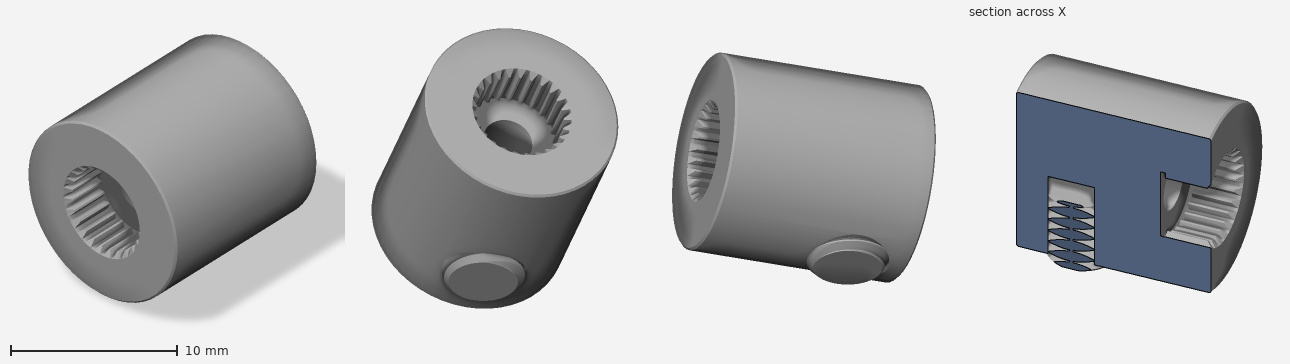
import cadquery as cq
import math

HOUSING_LENGTH = 12.7
HOUSING_RADIUS = 6.001
EDGE_CHAMFER = 0.13
BORE_RADIUS = 1.51

SOCKET_DEPTH = 3.3
TOOTH_LENGTH = 2.98
SPLINE_TEETH = 25
SPLINE_ROOT_RADIUS = 3.07
SPLINE_TIP_RADIUS = 2.69
TOOTH_BASE_WIDTH = 0.53
TOOTH_TIP_WIDTH = 0.13
TOOTH_OVERRUN = 0.13
LEAD_IN_DEPTH = 0.38

SCREW_Y = 2.75
SCREW_PROTRUSION = 0.37
THREAD_PITCH = 0.8
CREST_RADIUS = 2.5
THREAD_ROOT_RADIUS = 1.97
CREST_FLAT = 0.1
ROOT_FLAT = 0.03
SCREW_END_RADIUS = 2.08
CORE_RADIUS = 2.01
FIRST_CREST_HEIGHT = 0.55
THREAD_CLEARANCE = 0.13

FRONT_Y = -HOUSING_LENGTH / 2
SCREW_BOTTOM = -HOUSING_RADIUS - SCREW_PROTRUSION
SCREW_TOP = -BORE_RADIUS
SCREW_LENGTH = SCREW_TOP - SCREW_BOTTOM


def cylinder_y(radius, start_y, length):
    """Solid cylinder on the Y axis, running toward +Y from start_y."""
    plane = cq.Workplane("XZ", origin=(0, start_y, 0))
    return plane.circle(radius).extrude(-length)


def spline_tooth():
    """One inward tooth at the top of the socket, cut back by a conical lead-in."""
    outer_radius = SPLINE_ROOT_RADIUS + TOOTH_OVERRUN
    base_z = math.sqrt(SPLINE_ROOT_RADIUS**2 - (TOOTH_BASE_WIDTH / 2) ** 2)
    return (
        cq.Workplane("XZ", origin=(0, FRONT_Y, 0))
        .moveTo(-TOOTH_BASE_WIDTH / 2, outer_radius)
        .lineTo(-TOOTH_BASE_WIDTH / 2, base_z)
        .lineTo(-TOOTH_TIP_WIDTH / 2, SPLINE_TIP_RADIUS)
        .lineTo(TOOTH_TIP_WIDTH / 2, SPLINE_TIP_RADIUS)
        .lineTo(TOOTH_BASE_WIDTH / 2, base_z)
        .lineTo(TOOTH_BASE_WIDTH / 2, outer_radius)
        .close()
        .extrude(-TOOTH_LENGTH)
    )


def spline_socket():
    """The volume removed by the socket: a round recess less its ring of teeth."""
    socket = cylinder_y(SPLINE_ROOT_RADIUS, FRONT_Y, SOCKET_DEPTH)
    tooth = spline_tooth()
    for index in range(SPLINE_TEETH):
        angle = index * 360.0 / SPLINE_TEETH
        socket = socket.cut(tooth.rotate((0, 0, 0), (0, 1, 0), angle))
    lead_in = cq.Solid.makeCone(
        SPLINE_ROOT_RADIUS,
        SPLINE_TIP_RADIUS,
        LEAD_IN_DEPTH,
        pnt=cq.Vector(0, FRONT_Y, 0),
        dir=cq.Vector(0, 1, 0),
    )
    return socket.union(cq.Workplane(lead_in))


def make_housing():
    """Chamfered sleeve with its bore, splined socket and a plain screw hole reaching the bore axis."""
    body = cylinder_y(HOUSING_RADIUS, FRONT_Y, HOUSING_LENGTH).faces("<Y or >Y").chamfer(EDGE_CHAMFER)
    bore = cylinder_y(BORE_RADIUS, FRONT_Y, HOUSING_LENGTH)
    screw_hole = (
        cq.Workplane("XY", origin=(0, SCREW_Y, -HOUSING_RADIUS))
        .circle(CREST_RADIUS)
        .extrude(HOUSING_RADIUS)
    )
    return body.cut(bore).cut(spline_socket()).cut(screw_hole).solids()


def thread_ridge(start_z, turns):
    """Right-hand V ridge about Z, its centre leaving the +X side at start_z."""
    half_crest = CREST_FLAT / 2
    half_base = (THREAD_PITCH - ROOT_FLAT) / 2
    profile = [
        (THREAD_ROOT_RADIUS, start_z - half_base),
        (CREST_RADIUS, start_z - half_crest),
        (CREST_RADIUS, start_z + half_crest),
        (THREAD_ROOT_RADIUS, start_z + half_base),
    ]
    height = turns * THREAD_PITCH
    edges = [cq.Wire.makeHelix(THREAD_PITCH, height, radius, cq.Vector(0, 0, z)) for radius, z in profile]
    sides = [cq.Face.makeRuledSurface(edges[i - 1], edges[i]) for i in range(len(edges))]
    lower_outline = cq.Wire.makePolygon([cq.Vector(radius, 0, z) for radius, z in profile], close=True)
    upper_outline = lower_outline.translate(cq.Vector(0, 0, height))
    ends = [cq.Face.makeFromWires(outline) for outline in (lower_outline, upper_outline)]
    return cq.Workplane(cq.Solid.makeSolid(cq.Shell.makeShell(sides + ends)))


def screw_envelope():
    """Solid with 45 degree conical ends that trims a screw standing on Z = 0."""
    wide_radius = CREST_RADIUS + THREAD_CLEARANCE
    end_rise = wide_radius - SCREW_END_RADIUS
    return (
        cq.Workplane("XZ")
        .lineTo(SCREW_END_RADIUS, 0)
        .lineTo(wide_radius, end_rise)
        .lineTo(wide_radius, SCREW_LENGTH - end_rise)
        .lineTo(SCREW_END_RADIUS, SCREW_LENGTH)
        .lineTo(0, SCREW_LENGTH)
        .close()
        .revolve(360, (0, 0, 0), (0, 1, 0))
    )


def make_screw():
    """Set screw: a core and thread built past both ends, then trimmed to length."""
    start_z = FIRST_CREST_HEIGHT - 2 * THREAD_PITCH
    turns = math.ceil(SCREW_LENGTH / THREAD_PITCH) + 2
    core_length = (turns + 2) * THREAD_PITCH
    core = cq.Workplane("XY", origin=(0, 0, start_z - THREAD_PITCH)).circle(CORE_RADIUS).extrude(core_length)
    screw = core.union(thread_ridge(start_z, turns), clean=False).intersect(screw_envelope(), clean=False)
    return screw.translate((0, SCREW_Y, SCREW_BOTTOM)).solids()


housing = make_housing()
set_screw = make_screw()

result = cq.Compound.makeCompound([housing.val(), set_screw.val()])